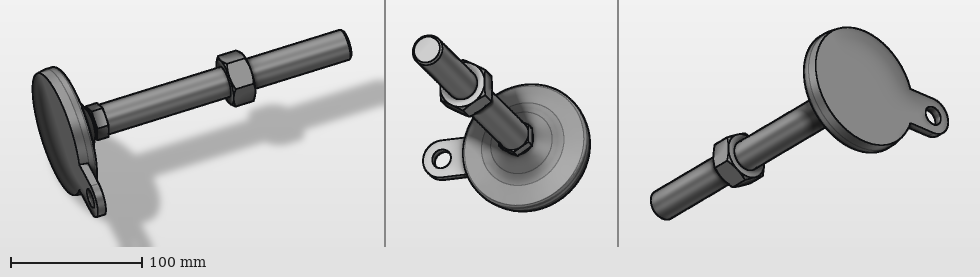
import cadquery as cq
import math


foot_radius = 49.97
foot_base_radius = 48.7
taper_height = 7.2
rim_height = 13.5
rim_round = 2.5
knee_radius = 28.9
knee_height = 18.4
knee_round = 35.8
cone_top_radius = 12.2
cone_top_height = 27.0
lip_height = 0.7
foot_top = cone_top_height + lip_height

total_length = 238.5
stud_diameter = 24.0
stud_chamfer = 1.7
neck_diameter = 17.2
collar_bottom = 28.9
collar_top = 38.2
collar_flats = 24.0

nut_bottom = 138.5
nut_thickness = 18.0
nut_flats = 35.8
nut_chamfer_angle = 30.0

lug_thickness = 6.7
lug_radius = 15.0
lug_hole_diameter = 15.0
lug_reach = 84.07
lug_hole_x = lug_reach - lug_radius


def plane_at(height):
    """Plane facing +Y, with its local x along -Z so hexagon corners point along Z."""
    return cq.Workplane(cq.Plane(origin=(0, height, 0), xDir=(0, 0, -1), normal=(0, 1, 0)))


def cylinder(diameter, bottom, top):
    return plane_at(bottom).circle(diameter / 2).extrude(top - bottom)


def hexagon(flats, bottom, top):
    corner_diameter = flats / math.cos(math.radians(30))
    return plane_at(bottom).polygon(6, corner_diameter).extrude(top - bottom)


def ring_edge(radius, height):
    """Selector for the circular edge of the foot at the given radius and height."""
    margin = 0.2
    reach = radius + margin
    return cq.selectors.BoxSelector(
        (-reach, height - margin, -reach),
        (reach, height + margin, reach),
        boundingbox=True,
    )


def make_foot():
    """Solid of revolution: tapered edge, rounded rim, flared cone and a short lip."""
    body = (
        cq.Workplane("XY")
        .lineTo(foot_base_radius, 0)
        .lineTo(foot_radius, taper_height)
        .lineTo(foot_radius, rim_height)
        .lineTo(knee_radius, knee_height)
        .lineTo(cone_top_radius, cone_top_height)
        .lineTo(cone_top_radius, foot_top)
        .lineTo(0, foot_top)
        .close()
        .revolve(360, (0, 0, 0), (0, 1, 0))
    )
    body = body.edges(ring_edge(knee_radius, knee_height)).fillet(knee_round)
    return body.edges(ring_edge(foot_radius, rim_height)).fillet(rim_round)


def make_stud():
    neck = cylinder(neck_diameter, foot_top, collar_bottom)
    collar = hexagon(collar_flats, collar_bottom, collar_top)
    shank = cylinder(stud_diameter, collar_top, total_length).faces(">Y").chamfer(stud_chamfer)
    return neck.union(collar).union(shank)


def make_nut():
    """Hexagon trimmed by a double cone that leaves flat-wide circles on both faces."""
    nut_top = nut_bottom + nut_thickness
    face_radius = nut_flats / 2
    corner_radius = face_radius / math.cos(math.radians(30))
    chamfer_height = (corner_radius - face_radius) * math.tan(math.radians(nut_chamfer_angle))
    envelope = (
        cq.Workplane("XY")
        .moveTo(0, nut_bottom)
        .lineTo(face_radius, nut_bottom)
        .lineTo(corner_radius, nut_bottom + chamfer_height)
        .lineTo(corner_radius, nut_top - chamfer_height)
        .lineTo(face_radius, nut_top)
        .lineTo(0, nut_top)
        .close()
        .revolve(360, (0, 0, 0), (0, 1, 0))
    )
    return hexagon(nut_flats, nut_bottom, nut_top).intersect(envelope)


def make_lug():
    """Round-ended tab, flush with the underside of the foot."""
    tab = (
        cq.Workplane("XZ")
        .moveTo(0, -lug_radius)
        .lineTo(lug_hole_x, -lug_radius)
        .threePointArc((lug_reach, 0), (lug_hole_x, lug_radius))
        .lineTo(0, lug_radius)
        .close()
        .extrude(-lug_thickness)
    )
    hole = cylinder(lug_hole_diameter, 0, lug_thickness).translate((lug_hole_x, 0, 0))
    return tab.cut(hole)


result = make_foot().union(make_stud()).union(make_nut()).union(make_lug())